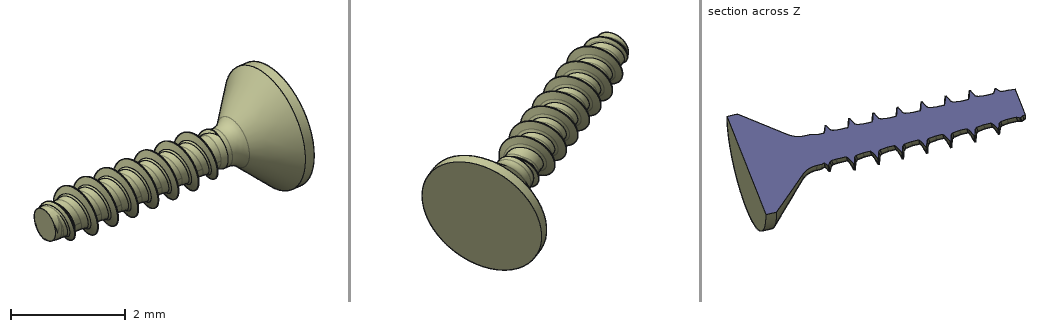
import cadquery as cq
import math

length = 5.0
head_radius = 1.175
rim_height = 0.195
neck_radius = 0.36
neck_fillet = 0.4
neck_end = 1.27
neck_taper = 0.125
core_radius = 0.32
tip_radius = 0.305
tip_taper = 0.125

pitch = 0.44
full_start = 1.7
full_end = 4.36
fade_in = 0.7
fade_out = 0.675
turns = 9
run_start = full_start - 1.5 * pitch
steps_per_turn = 16
foot_radius = 0.31
buried_radius = 0.27

crest_radius = 0.505
crest_half_width = 0.01
shoulder_radius = 0.37
shoulder_half_width = 0.055
base_half_width = 0.09
root_radius = 0.34
ridge_end = 0.29

ridge_profile = [
    (-base_half_width, foot_radius),
    (-shoulder_half_width, shoulder_radius),
    (-crest_half_width, crest_radius),
    (crest_half_width, crest_radius),
    (shoulder_half_width, shoulder_radius),
    (base_half_width, root_radius),
    (ridge_end, foot_radius),
]


def make_body():
    """Head, concave neck and core, revolved about the Y axis."""
    tangent = neck_fillet * math.sqrt(0.5)
    cone_end_radius = neck_radius + neck_fillet - tangent
    cone_end = rim_height + head_radius - cone_end_radius
    fillet_end = cone_end + tangent
    arc_angle = math.radians(22.5)
    arc_middle = (
        neck_radius + neck_fillet * (1 - math.cos(arc_angle)),
        -fillet_end + neck_fillet * math.sin(arc_angle),
    )
    return (
        cq.Workplane("XY")
        .lineTo(head_radius, 0)
        .lineTo(head_radius, -rim_height)
        .lineTo(cone_end_radius, -cone_end)
        .threePointArc(arc_middle, (neck_radius, -fillet_end))
        .lineTo(neck_radius, -neck_end)
        .lineTo(core_radius, -neck_end - neck_taper)
        .lineTo(core_radius, tip_taper - length)
        .lineTo(tip_radius, -length)
        .lineTo(0, -length)
        .close()
        .revolve(360, (0, 0, 0), (0, 1, 0))
    )


def thread_height(depth):
    """Fraction of the full thread height at a crest depth."""
    growing = 1 - (full_start - depth) / fade_in
    fading = 1 - (depth - full_end) / fade_out
    return max(0.0, min(1.0, growing, fading))


def helix_point(depth, offset, radius):
    angle = 2 * math.pi * (depth - full_start) / pitch
    return cq.Vector(-radius * math.sin(angle), -(depth + offset), radius * math.cos(angle))


def helix_edge(start, offset, radius):
    """One turn of a right-hand helix; corners above the foot follow the thread height."""
    points = []
    for i in range(steps_per_turn + 1):
        depth = start + pitch * i / steps_per_turn
        faded = radius
        if radius > foot_radius:
            faded = foot_radius + (radius - foot_radius) * thread_height(depth)
        points.append(helix_point(depth, offset, faded))
    return cq.Edge.makeSpline(points)


def make_turn(start):
    """One turn of the ridge, bounded by ruled helical faces and flat end faces."""
    corners = [(-base_half_width, buried_radius)] + ridge_profile + [(ridge_end, buried_radius)]
    edges = [helix_edge(start, *corner) for corner in corners]
    next_edges = edges[1:] + edges[:1]
    faces = [cq.Face.makeRuledSurface(a, b) for a, b in zip(edges, next_edges)]
    for end in (0, 1):
        outline = [edge.positionAt(end) for edge in edges]
        faces.append(cq.Face.makeFromWires(cq.Wire.makePolygon(outline, close=True)))
    return cq.Solid.makeSolid(cq.Shell.makeShell(faces)).fix()


thread_limits = cq.Solid.makeCylinder(
    head_radius, length - neck_end, cq.Vector(0, -length, 0), cq.Vector(0, 1, 0)
)

result = make_body()
for turn in range(turns):
    ridge = make_turn(run_start + turn * pitch).intersect(thread_limits)
    result = result.union(cq.Workplane(obj=ridge))